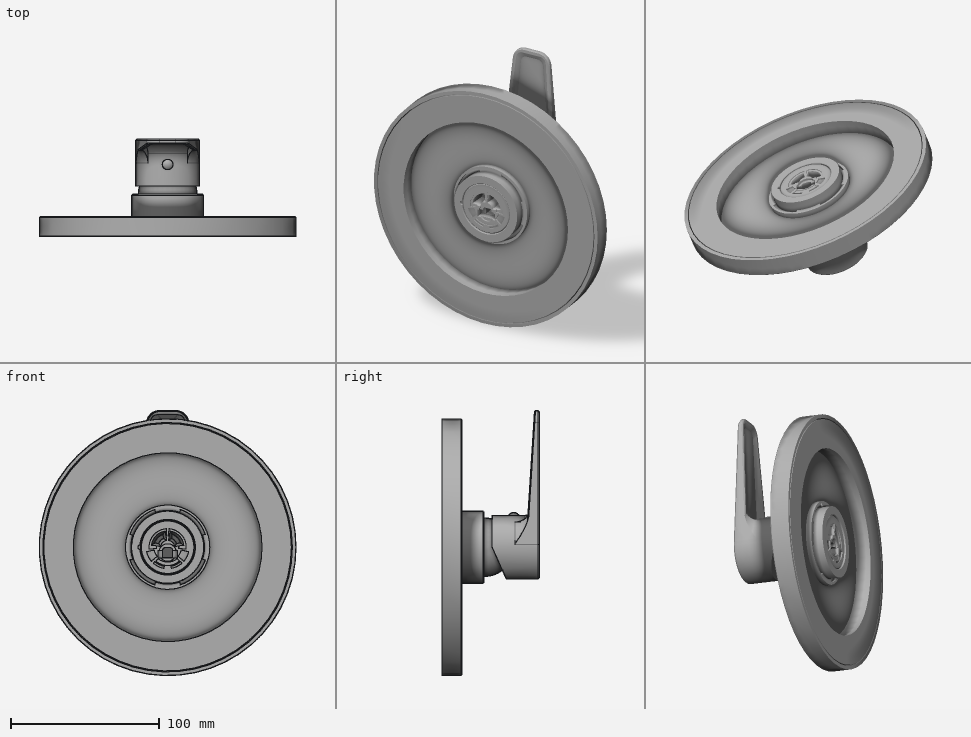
import cadquery as cq
import math


overall_height = 178.5

cover_diameter = 173.0
cover_radius = cover_diameter / 2
cover_thickness = 13.4
cover_edge_chamfer = 0.7
rim_width = 2.5
floor_y = 10.4
collar_radius = 28.4
collar_face_y = 6.5

gasket_gap = 0.7
gasket_outer_radius = cover_radius - rim_width - gasket_gap
gasket_inner_radius = 63.5

sleeve_radius = 24.3
sleeve_length = 28.4
sleeve_edge_chamfer = 0.9
bore_radius = 18.4
bore_chamfer = 0.4
key_notch_radius = 1.6
key_notch_depth = 1.8

sleeve_clearance = 0.5
cover_hole_radius = sleeve_radius + sleeve_clearance
ring_section_radius = 1.2
ring_path_radius = sleeve_radius + ring_section_radius
groove_radius = ring_path_radius + ring_section_radius
ring_y = 8.7
window_count = 4
window_angle = 52.0

dome_radius = 19.8

cartridge_face_y = 0.7
cartridge_chamfer = 0.7
port_inner_radius = 4.6
port_outer_radius = 11.0
port_start_angle = 6.0
port_depth = 9.0
port_taper = 12.0
septum_half_angle = 4.0
seat_depth = 0.5
port_seat_inner_radius = 7.5
port_seat_outer_radius = 12.5
lower_seat_inner_radius = 10.0
lower_seat_outer_radius = 12.3
lower_seat_half_angle = 40.0
kidney_depth = 1.0
kidney_inner_radius = 9.3
kidney_outer_radius = 14.5
kidney_angles = (-41.0, -12.0)
arc_slot_inner_radius = 13.0
arc_slot_angles = (-80.0, -48.0)
stem_center_z = -3.5
stem_width = 6.6
stem_corner_radius = 1.6
stem_depth = 14.3
stem_counterbore_radius = 5.9
stem_counterbore_depth = 1.5
clip_slot_width = 13.2
clip_slot_height = 5.0
clip_slot_drop = 1.2
clip_slot_depth = 5.4

handle_diameter = 43.0
handle_radius = handle_diameter / 2
handle_back_y = 65.7
handle_mouth_y = 33.7
mouth_cut_y = 43.4
back_edge_chamfer = 1.0
lever_top_z = overall_height - cover_radius
lever_taper = 5.0
lever_corner_radius = 9.0
lever_tip_y = 62.3
lever_root_y = 57.8
lever_root_z = 21.8
rim_edge_chamfer = 0.7
channel_rim = 2.0
channel_root_z = 16.0
channel_floor_inset = 5.9
channel_floor_tip_y = 63.3
channel_floor_root_y = 62.5
channel_corner_radius = 4.5
channel_overrun = 0.5
root_fillet = 6.8
side_blend_start_y = 48.5
side_blend_mid = (23.2, 54.5)
side_blend_end = (28.5, 58.4)
side_blend_angle = 52.0
blend_inner_radius = 20.5

button_radius = 4.1
button_y = 48.4
button_base_z = 16.0
button_ball_z = 19.3


def disc(radius, y_start, y_end):
    return cq.Workplane("XZ", origin=(0, y_start, 0)).circle(radius).extrude(y_start - y_end)


def ring_sector(inner_radius, outer_radius, start_angle, end_angle, y_start, y_end, taper=0):
    """Sector of a ring between two angles, measured from +X towards +Z."""

    def at(radius, angle):
        return (radius * math.cos(math.radians(angle)), radius * math.sin(math.radians(angle)))

    middle_angle = (start_angle + end_angle) / 2
    return (
        cq.Workplane("XZ", origin=(0, y_start, 0))
        .moveTo(*at(inner_radius, start_angle))
        .lineTo(*at(outer_radius, start_angle))
        .threePointArc(at(outer_radius, middle_angle), at(outer_radius, end_angle))
        .lineTo(*at(inner_radius, end_angle))
        .threePointArc(at(inner_radius, middle_angle), at(inner_radius, start_angle))
        .close()
        .extrude(y_start - y_end, taper=taper)
    )


def mirrored_pair(shape):
    return shape.union(shape.mirror("YZ"))


def make_escutcheon():
    body = disc(cover_radius, 0, cover_thickness).faces(">Y").edges().chamfer(cover_edge_chamfer)
    body = body.cut(disc(cover_radius - rim_width, 0, floor_y))
    body = body.union(disc(collar_radius, collar_face_y, floor_y))
    body = body.cut(disc(cover_hole_radius, 0, cover_thickness))
    groove_front_y = ring_y - ring_section_radius
    body = body.cut(disc(groove_radius, groove_front_y, ring_y + ring_section_radius))
    for index in range(window_count):
        middle = (index + 0.5) * 360 / window_count
        start_angle = middle - window_angle / 2
        end_angle = middle + window_angle / 2
        body = body.cut(
            ring_sector(sleeve_radius, groove_radius, start_angle, end_angle, collar_face_y, groove_front_y)
        )
    return body


def make_gasket():
    return disc(gasket_outer_radius, 0, floor_y).cut(disc(gasket_inner_radius, 0, floor_y))


def make_o_ring():
    return (
        cq.Workplane("XY")
        .center(ring_path_radius, ring_y)
        .circle(ring_section_radius)
        .revolve(360, (-ring_path_radius, 0, 0), (-ring_path_radius, 1, 0))
    )


def make_sleeve():
    body = (
        cq.Workplane("XY")
        .polyline([
            (bore_radius + bore_chamfer, 0),
            (sleeve_radius, 0),
            (sleeve_radius, sleeve_length - sleeve_edge_chamfer),
            (sleeve_radius - sleeve_edge_chamfer, sleeve_length),
            (bore_radius, sleeve_length),
            (bore_radius, bore_chamfer),
        ])
        .close()
        .revolve(360, (0, 0, 0), (0, 1, 0))
    )
    notch = disc(key_notch_radius, 0, key_notch_depth).translate((-bore_radius, 0, 0))
    return body.cut(notch.cut(disc(bore_radius, 0, key_notch_depth)))


def make_dome():
    return (
        cq.Workplane("XY")
        .moveTo(0, sleeve_length)
        .lineTo(dome_radius, sleeve_length)
        .radiusArc((0, sleeve_length + dome_radius), -dome_radius)
        .close()
        .revolve(360, (0, 0, 0), (0, 1, 0))
    )


def make_cartridge():
    face_y = cartridge_face_y
    body = disc(bore_radius, face_y, sleeve_length).faces("<Y").edges().chamfer(cartridge_chamfer)

    seat_y = face_y + seat_depth
    seat_end = 90 - septum_half_angle
    seat = ring_sector(
        port_seat_inner_radius, port_seat_outer_radius, -port_start_angle, seat_end, face_y, seat_y
    )
    port = ring_sector(
        port_inner_radius,
        port_outer_radius,
        port_start_angle,
        seat_end - septum_half_angle,
        face_y,
        face_y + port_depth,
        port_taper,
    )
    body = body.cut(mirrored_pair(seat)).cut(mirrored_pair(port))

    kidney_y = face_y + kidney_depth
    kidney = ring_sector(kidney_inner_radius, kidney_outer_radius, *kidney_angles, face_y, kidney_y)
    arc_slot = ring_sector(arc_slot_inner_radius, kidney_outer_radius, *arc_slot_angles, face_y, kidney_y)
    lower_seat = ring_sector(
        lower_seat_inner_radius,
        lower_seat_outer_radius,
        -90 - lower_seat_half_angle,
        -90 + lower_seat_half_angle,
        face_y,
        seat_y,
    )
    body = body.cut(mirrored_pair(kidney)).cut(mirrored_pair(arc_slot)).cut(lower_seat)

    counterbore = disc(stem_counterbore_radius, face_y, face_y + stem_counterbore_depth)
    stem_hole = (
        cq.Workplane("XZ", origin=(0, face_y, 0))
        .rect(stem_width, stem_width)
        .extrude(-stem_depth)
        .edges("|Y and >Z")
        .fillet(stem_corner_radius)
    )
    clip_slot = (
        cq.Workplane("XZ", origin=(0, face_y, -clip_slot_drop))
        .rect(clip_slot_width, clip_slot_height)
        .extrude(-clip_slot_depth)
    )
    stem_cut = counterbore.union(stem_hole).union(clip_slot)
    return body.cut(stem_cut.translate((0, 0, stem_center_z)))


def lever_half_width(z):
    """Half width at height z of the sides, which leave the round body as tangents."""
    taper = math.radians(lever_taper)
    return (handle_radius - z * math.sin(taper)) / math.cos(taper)


def make_lever_outline():
    """Full-depth lever block: tapered sides, rounded tip and a chamfered back edge."""
    root_z = handle_radius * math.sin(math.radians(lever_taper))
    root_half = lever_half_width(root_z)
    tip_half = lever_half_width(lever_top_z)
    return (
        cq.Workplane("XZ", origin=(0, handle_back_y, 0))
        .polyline([
            (-root_half, root_z),
            (root_half, root_z),
            (tip_half, lever_top_z),
            (-tip_half, lever_top_z),
        ])
        .close()
        .extrude(handle_back_y - side_blend_start_y)
        .edges("|Y and >Z")
        .fillet(lever_corner_radius)
        .faces(">Y")
        .edges("not <Z")
        .chamfer(back_edge_chamfer)
    )


def make_lever():
    """Lever with a sloping underside, a channel in it and blends into the round body."""
    underside_slope = (lever_tip_y - lever_root_y) / (lever_top_z - lever_root_z)
    side_profile = (
        cq.Workplane("YZ")
        .polyline([
            (handle_back_y, 0),
            (handle_back_y, lever_top_z),
            (lever_tip_y, lever_top_z),
            (lever_tip_y - underside_slope * lever_top_z, 0),
        ])
        .close()
        .extrude(handle_radius, both=True)
    )
    outline = make_lever_outline()
    body = outline.intersect(side_profile)
    body = body.faces("<Y").edges("not <Z").chamfer(rim_edge_chamfer).cut(make_channel())
    return body.union(make_root_fillet().union(make_side_blends()).intersect(outline))


def channel_section(inset, tip_y, root_y):
    """Lever outline moved inwards, on a plane that slopes from root_y to tip_y, with round tip corners."""
    tip_z = lever_top_z - inset
    tip_half = lever_half_width(tip_z) - inset
    root_half = lever_half_width(channel_root_z) - inset
    corners = [
        cq.Vector(-root_half, root_y, channel_root_z),
        cq.Vector(root_half, root_y, channel_root_z),
        cq.Vector(tip_half, tip_y, tip_z),
        cq.Vector(-tip_half, tip_y, tip_z),
    ]
    wire = cq.Wire.makePolygon(corners, close=True)
    tip_corners = cq.Workplane(obj=wire).vertices(">Z").vals()
    return wire.fillet2D(channel_corner_radius, tip_corners)


def make_channel():
    """Channel along the underside; its walls flare from the floor out to the rim."""
    floor = channel_section(channel_floor_inset, channel_floor_tip_y, channel_floor_root_y)
    mouth = channel_section(
        channel_rim, lever_tip_y - channel_overrun, lever_root_y - channel_overrun
    )
    return cq.Workplane(obj=cq.Solid.makeLoft([floor, mouth], True))


def make_root_fillet():
    """Concave ring where the channel floor meets the round body."""
    start_y = channel_floor_root_y - root_fillet
    outer_radius = handle_radius + root_fillet
    return (
        cq.Workplane("XY")
        .moveTo(handle_radius, start_y)
        .radiusArc((outer_radius, channel_floor_root_y), root_fillet)
        .lineTo(outer_radius, handle_back_y - back_edge_chamfer)
        .lineTo(blend_inner_radius, handle_back_y - back_edge_chamfer)
        .lineTo(blend_inner_radius, start_y)
        .close()
        .revolve(360, (0, 0, 0), (0, 1, 0))
    )


def make_side_blends():
    """Larger concave blends at both sides, running up into the channel rims."""
    blend = (
        cq.Workplane("XY")
        .moveTo(handle_radius, side_blend_start_y)
        .threePointArc(side_blend_mid, side_blend_end)
        .lineTo(side_blend_end[0], channel_floor_root_y)
        .lineTo(blend_inner_radius, channel_floor_root_y)
        .lineTo(blend_inner_radius, side_blend_start_y)
        .close()
        .revolve(side_blend_angle, (0, 0, 0), (0, -1, 0))
    )
    return mirrored_pair(blend)


def make_handle():
    body = disc(handle_radius, handle_mouth_y, handle_back_y)
    body = body.faces(">Y").edges().chamfer(back_edge_chamfer)
    mouth_cut = (
        cq.Workplane("YZ")
        .polyline([(handle_mouth_y, 0), (mouth_cut_y, -handle_radius), (handle_mouth_y, -handle_radius)])
        .close()
        .extrude(handle_radius, both=True)
    )
    return body.cut(mouth_cut).union(make_lever()).cut(make_dome()).cut(make_button())


def make_button():
    stub = cq.Workplane("XY").circle(button_radius).extrude(button_ball_z - button_base_z)
    ball = cq.Workplane("XY").sphere(button_radius).translate((0, 0, button_ball_z))
    return stub.translate((0, button_y, button_base_z)).union(ball.translate((0, button_y, 0)))


escutcheon = make_escutcheon()
gasket = make_gasket()
o_ring = make_o_ring()
sleeve = make_sleeve()
cartridge = make_cartridge()
dome = make_dome()
handle = make_handle()
button = make_button()

result = cq.Compound.makeCompound([
    escutcheon.val(),
    gasket.val(),
    o_ring.val(),
    sleeve.val(),
    cartridge.val(),
    dome.val(),
    handle.val(),
    button.val(),
])